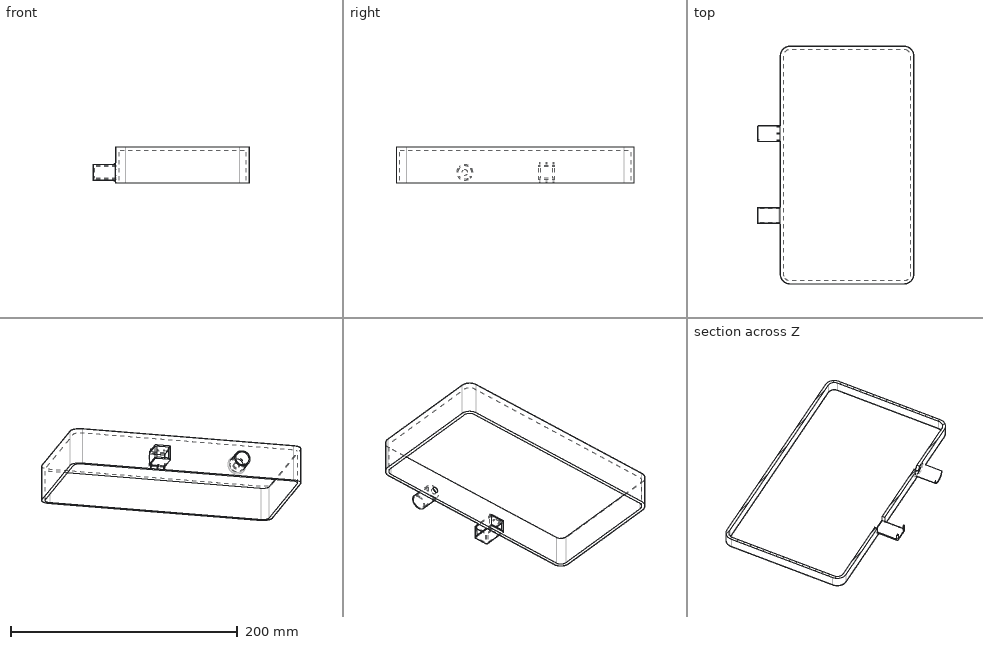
import cadquery as cq

housing_length_x = 118.0
housing_width_y = 210.0
housing_height = 32.0
housing_corner_radius = 8.8
wall = 3.0

projection = 20.0
port_center_z = 9.5

socket_y = -44.5
socket_diameter = 14.0
socket_wall = 1.0
socket_root_fillet = 1.0
socket_hole_diameter = 5.0

cage_y = 27.7
cage_width = 14.0
cage_height = 12.5
cage_plate_thickness = 1.3
cage_post_width = 1.7
cage_post_depth = 1.3
cage_corner_radius = 1.0

gusset_length = 3.0
gusset_height = 2.3
gusset_thickness = 0.8
gusset_spacing = 6.0
gusset_steps = (-1, 0, 1)


def socket_cylinder(diameter, x_start, length):
    """Cylinder on the socket axis, running in +X from x_start."""
    return (
        cq.Workplane("YZ", origin=(x_start, socket_y, port_center_z))
        .circle(diameter / 2)
        .extrude(length)
    )


def cage_block(x_start, x_end, width, height):
    """Box on the cage axis, from x_start to x_end."""
    return (
        cq.Workplane("YZ", origin=(x_start, cage_y, port_center_z))
        .rect(width, height)
        .extrude(x_end - x_start)
    )


def add_socket(block):
    barrel = socket_cylinder(socket_diameter, -projection, projection)
    bore = socket_cylinder(socket_diameter - 2 * socket_wall, -projection, projection)
    half_depth = wall / 2
    half_width = socket_diameter / 2 + socket_root_fillet
    root_edge = cq.selectors.BoxSelector(
        (-half_depth, socket_y - half_width, port_center_z - half_width),
        (half_depth, socket_y + half_width, port_center_z + half_width),
    )
    return block.union(barrel).edges(root_edge).fillet(socket_root_fillet).cut(bore)


def make_housing():
    block = (
        cq.Workplane("XY")
        .box(housing_length_x, housing_width_y, housing_height, centered=(False, True, False))
        .edges("|Z")
        .fillet(housing_corner_radius)
    )
    cavity = (
        cq.Workplane("XY")
        .box(
            housing_length_x - 2 * wall,
            housing_width_y - 2 * wall,
            housing_height - wall,
            centered=(False, True, False),
        )
        .edges("|Z")
        .fillet(housing_corner_radius - wall)
        .translate((wall, 0, 0))
    )
    socket_hole = socket_cylinder(socket_hole_diameter, 0, wall)
    cage_window = cage_block(0, wall, cage_width, cage_height)
    return add_socket(block).cut(cavity).cut(socket_hole).cut(cage_window)


def make_gusset(y, side):
    """Gusset centred on y, above the cage (side = 1) or below it (side = -1)."""
    plate_z = port_center_z + side * cage_height / 2
    return (
        cq.Workplane("XZ", origin=(0, y + gusset_thickness / 2, 0))
        .moveTo(0, plate_z)
        .lineTo(-gusset_length, plate_z)
        .lineTo(0, plate_z + side * gusset_height)
        .close()
        .extrude(gusset_thickness)
    )


def make_cage():
    frame = (
        cage_block(-projection, wall, cage_width, cage_height)
        .edges("|Z and <X")
        .fillet(cage_corner_radius)
    )
    opening_height = cage_height - 2 * cage_plate_thickness
    side_opening = cage_block(cage_post_depth - projection, wall, cage_width, opening_height)
    end_opening = cage_block(-projection, wall, cage_width - 2 * cage_post_width, opening_height)
    frame = frame.cut(side_opening).cut(end_opening)
    for side in (-1, 1):
        for step in gusset_steps:
            frame = frame.union(make_gusset(cage_y + step * gusset_spacing, side))
    return frame


housing = make_housing()
cage = make_cage()

result = cq.Compound.makeCompound([housing.val(), cage.val()])